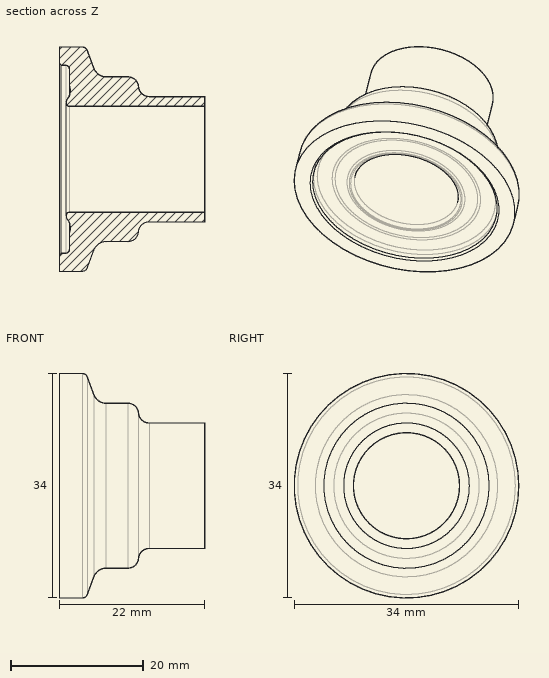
import cadquery as cq
import math

length = 22.0
flange_radius = 17.0
collar_radius = 25.0 / 2
tube_radius = 19.0 / 2
bore_radius = 16.0 / 2

back_slope = math.radians(20)
rim_width = 3.47
rim_round = 0.8
collar_start = 7.07
collar_fillet = 1.97
shoulder_start = 10.37
shoulder_end = 13.6

recess_radius = 28.4 / 2
recess_depth = 1.5
recess_fillet = 0.48
lead_in_width = 0.35
lead_in_depth = 0.27

ring_foot_radius = 11.42
flare_start_radius = 10.98
flare_end_radius = 9.08
tip_outer_radius = 8.7
bore_round = 0.48
foot_slope = math.radians(15)
flare_slope = math.radians(38)

quarter = math.pi / 2


def arc_point(center, radius, angle):
    """Point on a circle, with the angle measured from +X."""
    return (center[0] + radius * math.cos(angle), center[1] + radius * math.sin(angle))


def add_arc(outline, center, radius, start_angle, end_angle):
    """Continue the outline with a circular arc."""
    middle = arc_point(center, radius, (start_angle + end_angle) / 2)
    return outline.threePointArc(middle, arc_point(center, radius, end_angle))


def add_outer_side(outline):
    """Draw the outside from the flange rim to the tube end."""
    rim_center = (rim_width, flange_radius - rim_round)
    fillet_center = (collar_start, collar_radius + collar_fillet)
    fillet_angle = math.pi + back_slope

    run = shoulder_end - shoulder_start
    drop = collar_radius - tube_radius
    sweep = 2 * math.atan2(drop, run)
    shoulder_round = run / (2 * math.sin(sweep))
    convex_center = (shoulder_start, collar_radius - shoulder_round)
    concave_center = (shoulder_end, tube_radius + shoulder_round)

    outline = outline.lineTo(rim_width, flange_radius)
    outline = add_arc(outline, rim_center, rim_round, quarter, back_slope)
    outline = outline.lineTo(*arc_point(fillet_center, collar_fillet, fillet_angle))
    outline = add_arc(outline, fillet_center, collar_fillet, fillet_angle, 3 * quarter)
    outline = outline.lineTo(shoulder_start, collar_radius)
    outline = add_arc(outline, convex_center, shoulder_round, quarter, quarter - sweep)
    outline = add_arc(outline, concave_center, shoulder_round, 3 * quarter - sweep, 3 * quarter)
    return outline.lineTo(length, tube_radius)


def add_ring(outline):
    """Draw the raised ring from the bore to the recess floor."""
    foot_round = (ring_foot_radius - flare_start_radius) / math.sin(foot_slope)
    tip_round = (flare_end_radius - tip_outer_radius) / math.sin(flare_slope)
    flare_radius = (flare_start_radius - flare_end_radius) / (math.sin(flare_slope) + math.sin(foot_slope))
    flare_start_x = recess_depth + foot_round * (1 - math.cos(foot_slope))
    flare_end_x = flare_start_x - flare_radius * (math.cos(foot_slope) - math.cos(flare_slope))
    tip_x = flare_end_x - tip_round * (1 - math.cos(flare_slope))

    bore_round_center = (tip_x + bore_round, bore_radius + bore_round)
    tip_center = (tip_x + tip_round, tip_outer_radius)
    flare_center = (
        flare_start_x - flare_radius * math.cos(foot_slope),
        flare_start_radius - flare_radius * math.sin(foot_slope),
    )
    foot_center = (recess_depth + foot_round, ring_foot_radius)

    outline = outline.lineTo(tip_x + bore_round, bore_radius)
    outline = add_arc(outline, bore_round_center, bore_round, 3 * quarter, 2 * quarter)
    outline = outline.lineTo(tip_x, tip_outer_radius)
    outline = add_arc(outline, tip_center, tip_round, math.pi, math.pi - flare_slope)
    outline = add_arc(outline, flare_center, flare_radius, -flare_slope, foot_slope)
    return add_arc(outline, foot_center, foot_round, math.pi + foot_slope, math.pi)


def add_recess(outline):
    """Draw the recess floor, its outer wall and the lead-in chamfer."""
    fillet_center = (recess_depth - recess_fillet, recess_radius - recess_fillet)
    outline = outline.lineTo(recess_depth, recess_radius - recess_fillet)
    outline = add_arc(outline, fillet_center, recess_fillet, 0, quarter)
    outline = outline.lineTo(lead_in_depth, recess_radius)
    return outline.lineTo(0, recess_radius + lead_in_width)


profile = cq.Workplane("XY").moveTo(0, flange_radius)
profile = add_outer_side(profile)
profile = profile.lineTo(length, bore_radius)
profile = add_ring(profile)
profile = add_recess(profile)
profile = profile.close()

result = profile.revolve(360, (0, 0, 0), (1, 0, 0))